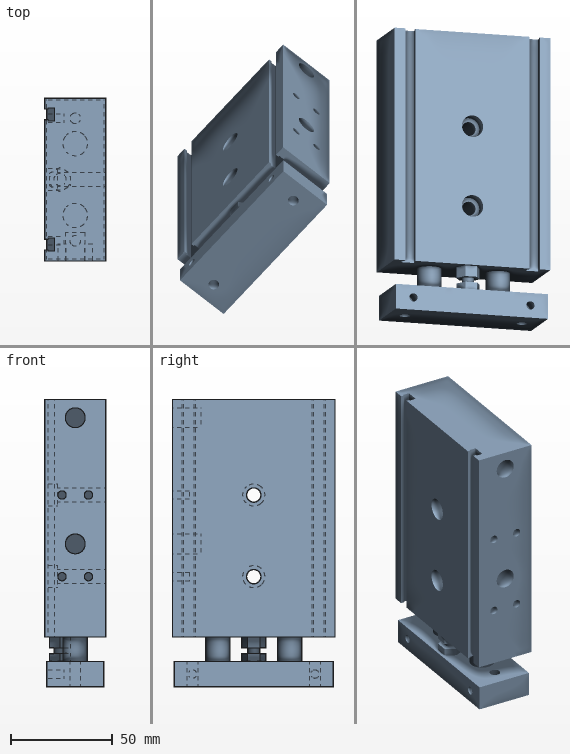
import cadquery as cq
import math

total_height = 141.0
housing_depth = 30.0
housing_width = 80.0
plate_depth = 28.2
plate_width = 78.1
plate_height = 12.4
rod_gap = 12.0
housing_bottom = plate_height + rod_gap
housing_height = total_height - housing_bottom
housing_front = -housing_width / 2
housing_left = -housing_depth / 2

slot_center_y = housing_width / 2 - 8.0
slot_mouth_width = 5.2
slot_inner_width = 6.5
slot_lip = 1.5
slot_depth = 4.8

hole_rows = (54.0, 94.0)
cross_hole_diameter = 6.9
counterbore_diameter = 10.9
counterbore_depth = 6.3

port_heights = (70.1, 132.0)
port_diameter = 9.7
port_depth = 14.1
mounting_hole_diameter = 4.1
mounting_hole_depth = 8.5
mounting_hole_x = 6.5

plate_hole_y = 30.0
plate_hole_diameter = 4.1
plate_side_hole_depth = 8.5
plate_top_hole_diameter = 5.2
rod_diameter = 12.0
rod_y = 17.6

bolt_x = -7.5
stud_diameter = 6.0
hex_across_corners = 12.0
lower_hex_height = 3.8
upper_hex_height = 5.4
hex_across_flats = hex_across_corners * math.cos(math.radians(30))
hex_corner_bevel = 0.3


def cylinder(diameter, length, start, direction):
    """Solid cylinder running from start along direction."""
    return cq.Workplane(cq.Solid.makeCylinder(
        diameter / 2, length, cq.Vector(*start), cq.Vector(*direction)))


def t_slot(center_y):
    """Cutter for one T-slot running the full housing height."""
    mouth = cq.Workplane("XY").box(
        slot_depth, slot_mouth_width, housing_height, centered=(False, True, False))
    inner = cq.Workplane("XY").box(
        slot_depth - slot_lip, slot_inner_width, housing_height, centered=(False, True, False))
    cutter = mouth.union(inner.translate((slot_lip, 0, 0)))
    return cutter.translate((housing_left, center_y, housing_bottom))


def make_housing():
    body = cq.Workplane("XY").box(
        housing_depth, housing_width, housing_height, centered=(True, True, False))
    body = body.translate((0, 0, housing_bottom))
    for side in (-1, 1):
        body = body.cut(t_slot(side * slot_center_y))
    for z in hole_rows:
        start = (housing_left, 0, z)
        body = body.cut(cylinder(cross_hole_diameter, housing_depth, start, (1, 0, 0)))
        body = body.cut(cylinder(counterbore_diameter, counterbore_depth, start, (1, 0, 0)))
        for x in (-mounting_hole_x, mounting_hole_x):
            start = (x, housing_front, z)
            body = body.cut(cylinder(mounting_hole_diameter, mounting_hole_depth, start, (0, 1, 0)))
    for z in port_heights:
        body = body.cut(cylinder(port_diameter, port_depth, (0, housing_front, z), (0, 1, 0)))
    return body


def make_end_plate():
    """End plate with its two guide rods, which meet the underside of the housing."""
    body = cq.Workplane("XY").box(
        plate_depth, plate_width, plate_height, centered=(True, True, False))
    for side in (-1, 1):
        y = side * plate_hole_y
        side_start = (-plate_depth / 2, y, plate_height / 2)
        body = body.cut(cylinder(plate_hole_diameter, plate_side_hole_depth, side_start, (1, 0, 0)))
        body = body.cut(cylinder(plate_top_hole_diameter, plate_height, (0, y, 0), (0, 0, 1)))
        rod_start = (0, side * rod_y, plate_height)
        body = body.union(cylinder(rod_diameter, rod_gap, rod_start, (0, 0, 1)))
    return body


def hexagon(height, bottom):
    """Hexagonal prism on the bolt axis with a flat facing -X."""
    radius = hex_across_corners / 2
    corners = []
    for index in range(6):
        angle = math.radians(30 + 60 * index)
        corners.append((radius * math.cos(angle), radius * math.sin(angle)))
    prism = cq.Workplane("XY").polyline(corners).close().extrude(height)
    return prism.translate((bolt_x, 0, bottom))


def bevel_envelope():
    """Round envelope that bevels the bottom corners of the lower hexagon."""
    bevel_width = (hex_across_corners - hex_across_flats) / 2
    slope = hex_corner_bevel / bevel_width
    top_radius = hex_across_flats / 2 + lower_hex_height / slope
    cone = cq.Solid.makeCone(
        hex_across_flats / 2, top_radius, lower_hex_height, cq.Vector(bolt_x, 0, plate_height))
    return cq.Workplane(cone)


def make_stopper_bolt():
    stud = cylinder(stud_diameter, rod_gap, (bolt_x, 0, plate_height), (0, 0, 1))
    lower_hex = hexagon(lower_hex_height, plate_height).intersect(bevel_envelope())
    upper_hex = hexagon(upper_hex_height, housing_bottom - upper_hex_height)
    return stud.union(lower_hex).union(upper_hex)


housing = make_housing()
end_plate = make_end_plate()
stopper_bolt = make_stopper_bolt()

result = cq.Compound.makeCompound([housing.val(), end_plate.val(), stopper_bolt.val()])